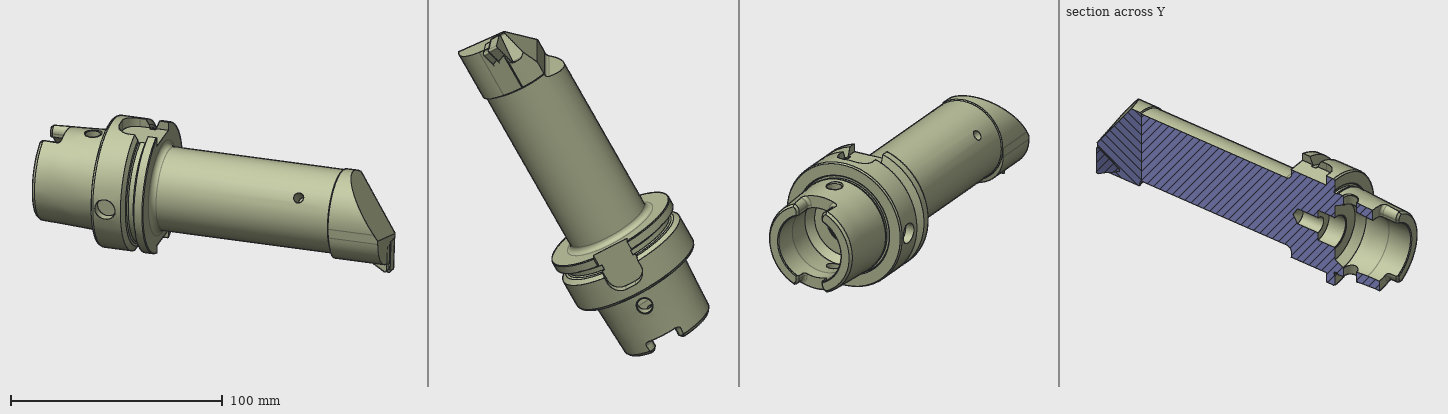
import cadquery as cq
import math


nose_x = -32.0
taper_end_x = -2.0
taper_end_radius = 24.1
taper_slope = 0.05
nose_chamfer_length = 1.4
nose_chamfer_depth = 0.9
undercut_radius = 23.6
undercut_width = 0.8
undercut_depth = 0.5
face_inner_radius = 25.2

flange_radius = 31.5
flange_width = 25.8
flange_chamfer_length = 1.0
flange_chamfer_depth = 0.5
back_chamfer_length = 0.5
back_chamfer_depth = 0.25
groove_start_x = 14.7
groove_step_start_x = 16.3
groove_step_end_x = 16.6
groove_floor_start_x = 17.2
groove_floor_end_x = 19.6
groove_end_x = 21.4
groove_step_outer_radius = 29.0
groove_step_inner_radius = 27.8
groove_floor_radius = 27.1

bar_radius = 20.0
bar_end_x = 113.5
bar_fillet = 2.9

flat_start_x = 5.2
flat_half_width = 9.0
flat_corner = 6.5
flat_height = 26.0

bore_radius = 17.0
bore_floor_x = 0.0
bore_edge_chamfer = 0.45
clamp_recess_x = -19.0
clamp_recess_radius = 18.5
floor_cone_angle = 30.0
bore_floor_radius = 15.85
coolant_thread_radius = 8.7
coolant_thread_end_x = 10.0
coolant_thread_chamfer = 0.4
coolant_radius = 4.3
coolant_end_x = 22.0
drill_half_angle = 59.0

slot_half_width = 6.27
slot_flare_height = 17.4
slot_flare_radius = 3.5
top_slot_depth = 10.1
bottom_slot_depth = 6.1
slot_floor_fillet = 1.4
slot_mouth_widening = 1.0
slot_mouth_length = 1.2

clamp_hole_x = -8.7
clamp_hole_radius = 3.65
clamp_hole_chamfer = 0.6
chip_hole_x = 7.0
chip_hole_radius = 5.0
chip_hole_depth = 4.5
lock_hole_x = 98.0
lock_hole_radius = 2.4
lock_hole_height = 12.1
lock_hole_depth = 10.0

head_radius = 20.5
head_flat_end_z = -4.5
head_lower_radius = 16.3
head_lower_angle = 72.0
head_bottom_y = 0.75
head_bottom_z = -23.6
head_chamfer = 0.5
bulge_cone_length = 1.0
bulge_cone_height = 3.9
head_end_x = 139.3
head_end_slope = 0.035
crown_axis_x = 133.4
crown_rise_per_z = -0.69
crown_rise_per_y = -0.158

relief_y = 12.1
relief_start_x = 108.3
relief_floor_x = 111.6
relief_fillet = 2.0
back_bevel_start_x = 120.7
back_bevel_end_y = 4.3
back_bevel_end_x = 139.8

tip_x = 139.9
insert_edge = 16.5
insert_nose_radius = 0.8
insert_thickness = 4.76
shim_thickness = 3.18
shim_inset = 0.6
rake_y = 0.5
tip_z = -26.9
insert_half_angle = math.radians(30.0)
axial_tilt = math.radians(6.0)
radial_tilt = math.radians(4.0)

far = 60.0


def revolve_about_x(outline):
    return outline.close().revolve(360, (0, 0, 0), (1, 0, 0))


def taper_radius(x):
    return taper_end_radius + taper_slope * (x - taper_end_x)


def holder_blank():
    """Shank, flange and bar turned in one piece."""
    undercut_start_x = -undercut_width
    chamfered_radius = flange_radius - flange_chamfer_depth
    chamfer_end_x = nose_x + nose_chamfer_length
    outline = (
        cq.Workplane("XY")
        .moveTo(nose_x, 0)
        .lineTo(nose_x, taper_radius(nose_x) - nose_chamfer_depth)
        .lineTo(chamfer_end_x, taper_radius(chamfer_end_x))
        .lineTo(taper_end_x, taper_end_radius)
        .lineTo(undercut_start_x, undercut_radius)
        .lineTo(undercut_depth, undercut_radius)
        .lineTo(undercut_depth, face_inner_radius - undercut_depth)
        .lineTo(0, face_inner_radius)
        .lineTo(0, chamfered_radius)
        .lineTo(flange_chamfer_length, flange_radius)
        .lineTo(groove_start_x, flange_radius)
        .lineTo(groove_step_start_x, groove_step_outer_radius)
        .lineTo(groove_step_end_x, groove_step_inner_radius)
        .lineTo(groove_floor_start_x, groove_floor_radius)
        .lineTo(groove_floor_end_x, groove_floor_radius)
        .lineTo(groove_end_x, flange_radius)
        .lineTo(flange_width - back_chamfer_length, flange_radius)
        .lineTo(flange_width, flange_radius - back_chamfer_depth)
        .lineTo(flange_width, bar_radius + bar_fillet)
        .radiusArc((flange_width + bar_fillet, bar_radius), -bar_fillet)
        .lineTo(bar_end_x, bar_radius)
        .lineTo(bar_end_x, 0)
    )
    return revolve_about_x(outline)


def shank_bore():
    """Stepped bore from the nose: main bore, clamping recess, coolant tube thread and a drilled end."""
    floor_cone_slope = math.tan(math.radians(floor_cone_angle))
    floor_cone_x = bore_floor_x - (clamp_recess_radius - bore_floor_radius) / floor_cone_slope
    coolant_tip_x = coolant_end_x + coolant_radius / math.tan(math.radians(drill_half_angle))
    outline = (
        cq.Workplane("XY")
        .moveTo(nose_x, 0)
        .lineTo(nose_x, bore_radius + bore_edge_chamfer)
        .lineTo(nose_x + bore_edge_chamfer, bore_radius)
        .lineTo(clamp_recess_x, bore_radius)
        .lineTo(floor_cone_x, clamp_recess_radius)
        .lineTo(bore_floor_x, bore_floor_radius)
        .lineTo(bore_floor_x, coolant_thread_radius + coolant_thread_chamfer)
        .lineTo(bore_floor_x + coolant_thread_chamfer, coolant_thread_radius)
        .lineTo(coolant_thread_end_x, coolant_thread_radius)
        .lineTo(coolant_thread_end_x, coolant_radius)
        .lineTo(coolant_end_x, coolant_radius)
        .lineTo(coolant_tip_x, 0)
    )
    return revolve_about_x(outline)


def slot_outline(x, widening):
    """Slot section whose walls flare out near the taper surface, widened by an offset."""
    half_width = slot_half_width + widening
    flare_radius = slot_flare_radius - widening
    flare_y = slot_half_width + slot_flare_radius
    flare_z = slot_flare_height + flare_radius
    return (
        cq.Workplane("YZ", origin=(x, 0, 0))
        .moveTo(-half_width, 0)
        .lineTo(-half_width, slot_flare_height)
        .radiusArc((-flare_y, flare_z), -flare_radius)
        .lineTo(-flare_y, flange_radius)
        .lineTo(flare_y, flange_radius)
        .lineTo(flare_y, flare_z)
        .radiusArc((half_width, slot_flare_height), -flare_radius)
        .lineTo(half_width, 0)
        .close()
    )


def drive_slot(depth, side):
    """Slot open at the nose and outwards, with a bevelled mouth and a filleted floor."""
    slot = slot_outline(nose_x, 0).extrude(depth).faces(">X").edges().fillet(slot_floor_fillet)
    mouth_start = slot_outline(nose_x, slot_mouth_widening).val()
    mouth_end = slot_outline(nose_x + slot_mouth_length, 0).val()
    mouth = cq.Workplane(cq.Solid.makeLoft([mouth_start, mouth_end], True))
    slot = slot.union(mouth)
    return slot.rotate((0, 0, 0), (1, 0, 0), 0 if side > 0 else 180)


def flange_flat(side):
    """Flat pocket with rounded front corners, open at the back of the flange."""
    length = flange_width - flat_start_x
    pocket = (
        cq.Workplane("XY", origin=(flat_start_x + length / 2, 0, flat_height))
        .rect(length, 2 * flat_half_width)
        .extrude(flange_radius)
        .edges("|Z and <X")
        .fillet(flat_corner)
    )
    return pocket.rotate((0, 0, 0), (1, 0, 0), 0 if side > 0 else 180)


def clamp_hole():
    """Hole through both walls of the shank, countersunk on the outside."""
    sink_top = taper_radius(clamp_hole_x)
    sink_bottom = sink_top - clamp_hole_chamfer
    rim_radius = clamp_hole_radius + clamp_hole_chamfer
    half_hole = (
        cq.Workplane("XZ")
        .lineTo(clamp_hole_radius, 0)
        .lineTo(clamp_hole_radius, sink_bottom)
        .lineTo(rim_radius, sink_top)
        .lineTo(rim_radius, flange_radius)
        .lineTo(0, flange_radius)
        .close()
        .revolve(360, (0, 0, 0), (0, 1, 0))
    )
    return half_hole.union(half_hole.mirror("XY")).translate((clamp_hole_x, 0, 0))


def chip_hole():
    hole = cq.Workplane("XZ", origin=(chip_hole_x, chip_hole_depth - flange_radius, 0))
    return hole.circle(chip_hole_radius).extrude(far)


def lock_hole():
    """Blind hole drilled square to the bar surface, towards the bar axis."""
    hole_y = -math.sqrt(bar_radius**2 - lock_hole_height**2)
    outward = cq.Vector(0, hole_y, lock_hole_height).normalized()
    bottom = cq.Vector(lock_hole_x, 0, 0) + outward * (bar_radius - lock_hole_depth)
    plane = cq.Plane(origin=bottom.toTuple(), xDir=(1, 0, 0), normal=outward.toTuple())
    return cq.Workplane(plane).circle(lock_hole_radius).extrude(2 * lock_hole_depth)


def side_relief():
    """Everything beyond the flat and the bevel on the +Y side of bar and head."""
    bevel_slope = (back_bevel_end_y - relief_y) / (back_bevel_end_x - back_bevel_start_x)
    end_x = back_bevel_end_x + head_radius
    end_y = relief_y + bevel_slope * (end_x - back_bevel_start_x)
    ramp_slope = (relief_floor_x - relief_start_x) / (bar_radius - relief_y)
    relief = (
        cq.Workplane("XY", origin=(0, 0, -far))
        .moveTo(relief_floor_x - ramp_slope * (far - relief_y), far)
        .lineTo(relief_floor_x, relief_y)
        .lineTo(back_bevel_start_x, relief_y)
        .lineTo(end_x, end_y)
        .lineTo(end_x, far)
        .close()
        .extrude(2 * far)
    )
    nearest = cq.selectors.NearestToPointSelector((relief_floor_x, relief_y, 0))
    return relief.edges(nearest).fillet(relief_fillet)


def make_holder():
    holder = holder_blank().cut(shank_bore())
    for side, depth in ((1, top_slot_depth), (-1, bottom_slot_depth)):
        holder = holder.cut(drive_slot(depth, side)).cut(flange_flat(side))
    holder = holder.cut(clamp_hole()).cut(chip_hole()).cut(lock_hole())
    return holder.cut(side_relief())


def head_envelope():
    """Turned envelope that bevels the rear edge of the head and the rear end of its bulge."""
    chamfer_end_x = bar_end_x + head_chamfer
    bulge_cone_end_x = chamfer_end_x + bulge_cone_length
    outer_radius = head_radius + bulge_cone_height
    outline = (
        cq.Workplane("XY")
        .moveTo(bar_end_x, 0)
        .lineTo(bar_end_x, head_radius - head_chamfer)
        .lineTo(chamfer_end_x, head_radius)
        .lineTo(bulge_cone_end_x, outer_radius)
        .lineTo(bar_end_x + far, outer_radius)
        .lineTo(bar_end_x + far, 0)
    )
    return revolve_about_x(outline)


def head_blank():
    """Round head section with a lower bulge that carries the insert."""
    end_angle = math.radians(head_lower_angle)
    lower_center_y = head_lower_radius - head_radius
    lower_end_y = lower_center_y - head_lower_radius * math.cos(end_angle)
    lower_end_z = head_flat_end_z - head_lower_radius * math.sin(end_angle)
    bottom_circle_z = -math.sqrt(head_radius**2 - head_bottom_y**2)
    return (
        cq.Workplane("YZ", origin=(bar_end_x, 0, 0))
        .moveTo(head_bottom_y, bottom_circle_z)
        .threePointArc((head_radius, 0), (0, head_radius))
        .threePointArc(
            (-head_radius * math.sqrt(0.5), head_radius * math.sqrt(0.5)), (-head_radius, 0)
        )
        .lineTo(-head_radius, head_flat_end_z)
        .radiusArc((lower_end_y, lower_end_z), -head_lower_radius)
        .lineTo(head_bottom_y, head_bottom_z)
        .close()
        .extrude(far)
        .intersect(head_envelope())
    )


def half_space(point, normal):
    """Large block filling the side of a plane that the normal points to."""
    plane = cq.Plane(origin=point, normal=normal)
    return cq.Workplane(plane).rect(4 * far, 4 * far).extrude(2 * far)


def insert_plane(depth):
    """Plane parallel to the rake face, at a depth behind it, with its origin on the sharp lower corner."""
    back = cq.Vector(
        -math.sin(radial_tilt),
        -math.cos(radial_tilt) * math.cos(axial_tilt),
        math.cos(radial_tilt) * math.sin(axial_tilt),
    )
    edge = cq.Vector(0, math.sin(axial_tilt), math.cos(axial_tilt))
    nose_drop = insert_nose_radius * (1 / math.tan(insert_half_angle) - 1)
    corner = cq.Vector(tip_x, rake_y, tip_z - nose_drop)
    origin = corner + back * depth
    return cq.Plane(origin=origin.toTuple(), xDir=edge.cross(back).toTuple(), normal=back.toTuple())


def rounded_triangle(depth, thickness, inset):
    """Triangular plate with one edge upright; a negative depth starts in front of the rake face."""
    height = insert_edge * math.cos(insert_half_angle)
    lift = inset / math.tan(insert_half_angle)
    outline = [
        (-inset, lift),
        (-inset, insert_edge - lift),
        (-height + 2 * inset, insert_edge / 2),
    ]
    plate = cq.Workplane(insert_plane(depth)).polyline(outline).close().extrude(thickness)
    corners = plate.edges(cq.selectors.ParallelDirSelector(insert_plane(0).zDir))
    return corners.fillet(insert_nose_radius)


def make_insert():
    return rounded_triangle(0, insert_thickness, 0)


def make_shim():
    return rounded_triangle(insert_thickness, shim_thickness, shim_inset)


def make_head():
    """Head cut by the sloping crown plane, the end plane and the side relief, with its insert pocket."""
    crown = half_space((crown_axis_x, 0, 0), (1, -crown_rise_per_y, -crown_rise_per_z))
    end = half_space((head_end_x, 0, 0), (1, -head_end_slope, 0))
    insert_pocket = rounded_triangle(-far, far + insert_thickness, 0)
    head = head_blank().cut(crown).cut(end).cut(side_relief())
    return head.cut(insert_pocket).cut(make_shim())


holder = make_holder()
head = make_head()
insert = make_insert()
shim = make_shim()

bodies = [holder, head, insert, shim]
result = cq.Compound.makeCompound([body.solids().val() for body in bodies])